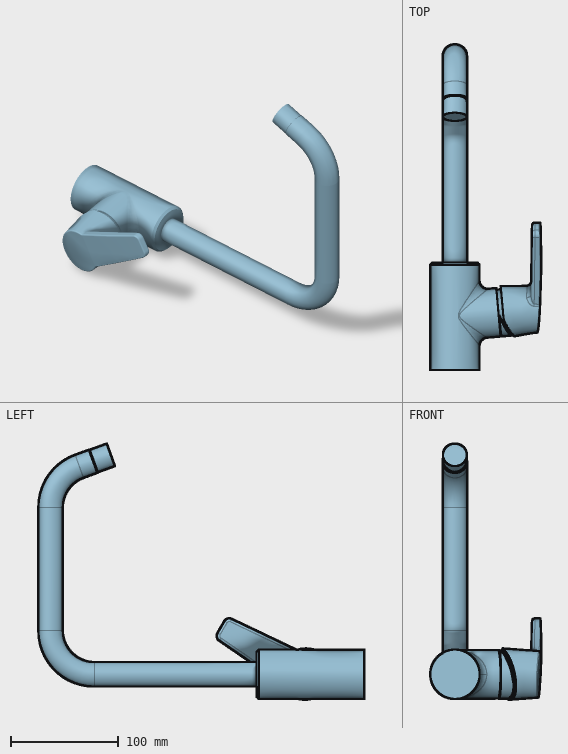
import cadquery as cq
import math

body_radius = 23.0
body_length = 100.0
body_edge_chamfer = 2.0

spout_radius = 11.5
spout_reach = 303.0
spout_column_y = spout_reach - spout_radius
spout_overlap = 3.0
bend_radius = 40.5
column_top_z = 155.0
outlet_turn = math.radians(70)
collar_length = 13.5
aerator_length = 17.5
aerator_radius = 11.2
aerator_groove_width = 0.5
aerator_groove_depth = 0.5

branch_y = 50.3
branch_lean = 5.0
branch_radius = 22.7
branch_end = 40.5
branch_fillet = 7.3
joint_low = (-3.0, 15.0, -27.3)
joint_high = (27.3, 84.8, 27.3)
seam_width = 0.5
core_radius = 21.2
collar_end_limit = 60.5
core_end = 60.5
core_overlap = 3.0

head_start = 44.8
head_end = 84.8
head_start_radius = 24.2
head_taper = math.radians(4.3)
slant_x = 46.0
slant_normal = (1.0, 0.4, 0.21)
slant_rise = 2.7
slant_gap = 2.0

lever_pivot_y = 57.3
lever_angle = 30.0
lever_length = 88.0
lever_tip_width = 22.7
lever_side_taper = math.radians(4.5)
lever_root = 9.0
lever_inner_x = 70.5
lever_tip_inner_x = 71.5
lever_corner_radius = 5.5
lever_edge_fillet = 3.0
lever_root_fillet = 4.0
lever_root_low = (69.7, 57.5, -12.0)
lever_root_high = (74.2, 80.3, 24.2)
outer_edge_fillet = 1.2

dome_start = (-27.3, 76.0)
dome_crown = (42.5, 80.3)
dome_tip = (lever_length + 3.0, 79.5)
envelope_size = 181.8

lean = math.radians(branch_lean)
branch_plane = cq.Plane((0, branch_y, 0), (0, 0, 1), (math.cos(lean), math.sin(lean), 0))

lift = math.radians(lever_angle)
lever_direction = cq.Vector(0, math.cos(lift), math.sin(lift))
dome_plane = cq.Plane((0, lever_pivot_y, 0), lever_direction, lever_direction.cross(cq.Vector(1, 0, 0)))
blade_plane = cq.Plane((0, lever_pivot_y, 0), lever_direction, (1, 0, 0))


def branch_cylinder(radius, start, end):
    return cq.Workplane(branch_plane).workplane(offset=start).circle(radius).extrude(end - start)


def make_body():
    """Body and branch, blended together where they meet."""
    body = cq.Workplane("XZ").circle(body_radius).extrude(-body_length)
    body = body.faces(">Y").chamfer(body_edge_chamfer)
    body = body.union(branch_cylinder(branch_radius, 0, branch_end))
    joint = cq.selectors.BoxSelector(joint_low, joint_high)
    return body.edges(joint).fillet(branch_fillet)


def make_spout():
    path = (
        cq.Workplane("YZ")
        .moveTo(body_length - spout_overlap, 0)
        .lineTo(spout_column_y - bend_radius, 0)
        .radiusArc((spout_column_y, bend_radius), -bend_radius)
        .lineTo(spout_column_y, column_top_z)
    )
    outlet_y = spout_column_y - bend_radius * (1 - math.cos(outlet_turn))
    outlet_z = column_top_z + bend_radius * math.sin(outlet_turn)
    outlet_direction = (0, -math.sin(outlet_turn), math.cos(outlet_turn))
    path = path.radiusArc((outlet_y, outlet_z), -bend_radius)
    tube = cq.Workplane("XZ", origin=(0, body_length - spout_overlap, 0)).circle(spout_radius).sweep(path)

    outlet_plane = cq.Plane((0, outlet_y, outlet_z), (1, 0, 0), outlet_direction)
    outlet = (
        cq.Workplane(outlet_plane)
        .circle(spout_radius)
        .extrude(collar_length)
        .faces(cq.selectors.DirectionMinMaxSelector(cq.Vector(outlet_direction)))
        .workplane()
        .circle(aerator_radius - aerator_groove_depth)
        .extrude(aerator_groove_width)
        .faces(cq.selectors.DirectionMinMaxSelector(cq.Vector(outlet_direction)))
        .workplane()
        .circle(aerator_radius)
        .extrude(aerator_length - aerator_groove_width)
    )
    return tube.union(outlet)


def beyond_slant(offset):
    """Half-space on the +X side of the slanted plane, moved along its normal."""
    plane = cq.Plane((slant_x, branch_y + slant_rise, 0), (0, 0, 1), slant_normal)
    return cq.Workplane(plane).workplane(offset=offset).rect(envelope_size, envelope_size).extrude(envelope_size)


def make_envelope():
    """Everything on the inner side of the domed outer face."""
    return (
        cq.Workplane(dome_plane)
        .moveTo(dome_start[0], 0)
        .lineTo(*dome_start)
        .threePointArc(dome_crown, dome_tip)
        .lineTo(dome_tip[0], 0)
        .close()
        .extrude(envelope_size / 2, both=True)
    )


def make_head():
    head_length = head_end - head_start
    end_radius = head_start_radius - head_length * math.tan(head_taper)
    cone = (
        cq.Workplane(branch_plane)
        .workplane(offset=head_start)
        .circle(head_start_radius)
        .workplane(offset=head_length)
        .circle(end_radius)
        .loft()
    )
    return cone.intersect(beyond_slant(slant_gap / 2))


def make_neck():
    """Core joining branch to head, with the collar filling up to the slanted gap."""
    core = branch_cylinder(core_radius, branch_end - core_overlap, core_end)
    collar = branch_cylinder(branch_radius, branch_end + seam_width, collar_end_limit)
    return core.union(collar.cut(beyond_slant(-slant_gap / 2)))


def make_lever():
    tip_half = lever_tip_width / 2
    root_half = tip_half + (lever_length - lever_root) * math.tan(lever_side_taper)
    blade = (
        cq.Workplane(blade_plane)
        .polyline([
            (lever_root, -root_half),
            (lever_length, -tip_half),
            (lever_length, tip_half),
            (lever_root, root_half),
        ])
        .close()
        .extrude(envelope_size)
    )
    tip = cq.selectors.DirectionMinMaxSelector(lever_direction)
    blade = blade.faces(tip).edges("|X").fillet(lever_corner_radius)
    side = (
        cq.Workplane(dome_plane)
        .moveTo(lever_root, lever_inner_x)
        .lineTo(lever_length, lever_tip_inner_x)
        .lineTo(lever_length, envelope_size)
        .lineTo(lever_root, envelope_size)
        .close()
        .extrude(envelope_size / 2, both=True)
    )
    return blade.intersect(side).faces("<X").edges().fillet(lever_edge_fillet)


def make_handle():
    """Head and lever, with a blended root and a softened outer rim."""
    handle = make_head().union(make_lever())
    root_box = cq.selectors.BoxSelector(lever_root_low, lever_root_high)
    root_edges = handle.faces("%CONE").edges(root_box).vals()
    handle = handle.newObject(root_edges).fillet(lever_root_fillet)
    return handle.intersect(make_envelope()).faces(">X").edges().fillet(outer_edge_fillet)


result = make_body().union(make_spout()).union(make_neck()).union(make_handle())